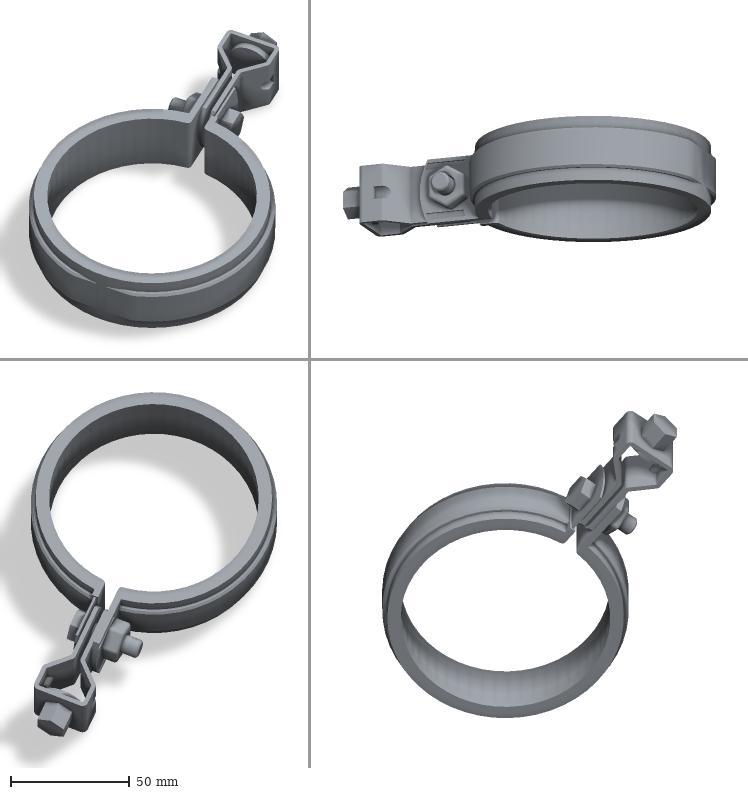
import cadquery as cq
import math

ring_height = 28.0
ring_inner_radius = 44.2
ring_end_radius = 49.9
ring_crown_radius = 50.2
foot_top = 52.5
foot_corner_radius = 1.6

band_outer_diameter = 104.0
band_outer_radius = band_outer_diameter / 2
band_inner_radius = 49.0
band_height = 17.4
band_chamfer = 1.0
band_flat_y = -50.2
band_flat_blend = 15.3
band_end_gap = 5.0

strip = 2.0
bracket_height = 24.8
leg_gap = 2.4
bracket_half_width = 12.2
bracket_top = 101.7
upper_bend_y = 90.2
bend_radius = 2.1
inner_bend_radius = 0.5
corner_radius = 2.4
inner_corner_radius = 0.3
leg_tip = 51.8
leg_side_end = 56.3
leg_face = leg_gap / 2 + strip
lower_bend_y = upper_bend_y - (bracket_half_width - leg_face)

louvre_top = 94.5
louvre_inner_radius = 2.7
louvre_wall = 1.5
louvre_outer_radius = louvre_inner_radius + louvre_wall

bolt_y = 61.8
bolt_diameter = 8.0
bolt_tip_diameter = 6.6
bolt_tip_x = -20.1
bolt_head_flats = 13.0
bolt_head_thickness = 5.3
clearance_diameter = 9.0

foot_thickness = 2.9
foot_face = leg_face + foot_thickness
ear_thickness = 1.0
ear_inner_face = leg_face + (foot_thickness - ear_thickness) / 2
ear_outer_face = ear_inner_face + ear_thickness
ear_width = 25.7
ear_root = 49.9
ear_side_top = 71.9
ear_tip = 74.3

cap_side_top = 72.4
cap_tip = 76.0
cap_hex_flats = 16.0
cap_hex_height = 6.8
cap_corner_radius = 1.6
cap_rim_radius = 1.5
window_low_z = 9.5
window_high_z = 12.4
window_outer_span = (55.3, 72.4)
window_inner_span = (56.3, 73.3)

stud_flats = 12.0
stud_top = 110.7
stud_neck_diameter = 10.5
flange_diameter = 20.0
flange_thickness = 2.9


def block(x_range, y_range, height):
    """Box between two X and two Y values, centred on Z = 0."""
    size_x = x_range[1] - x_range[0]
    size_y = y_range[1] - y_range[0]
    middle = (sum(x_range) / 2, sum(y_range) / 2, 0)
    return cq.Workplane("XY").box(size_x, size_y, height).translate(middle)


def prism(points, height):
    """Polygon in X and Y extruded symmetrically about Z = 0."""
    return cq.Workplane("XY").polyline(points).close().extrude(height / 2, both=True)


def hexagon(workplane, flats):
    """Hexagon given by its width across flats, corners on the local X axis."""
    return workplane.polygon(6, flats / math.cos(math.pi / 6))


def bolt_cylinder(diameter, x_start, x_end):
    """Cylinder on the bolt axis."""
    plane = cq.Workplane("YZ", origin=(x_start, bolt_y, 0))
    return plane.circle(diameter / 2).extrude(x_end - x_start)


def tongue(x_range, y_side_end, y_tip, y_root, width):
    """Plate across X whose end along Y is a shallow arc."""
    plane = cq.Workplane("YZ", origin=(x_range[0], 0, 0))
    outline = (
        plane.moveTo(y_root, -width / 2)
        .lineTo(y_side_end, -width / 2)
        .threePointArc((y_tip, 0), (y_side_end, width / 2))
        .lineTo(y_root, width / 2)
        .close()
    )
    return outline.extrude(x_range[1] - x_range[0])


def make_ears():
    """Two drilled ear plates: the left one and its mirror."""
    left = tongue((-ear_outer_face, -ear_inner_face), ear_side_top, ear_tip, ear_root, ear_width)
    left = left.cut(bolt_cylinder(clearance_diameter, -foot_face, 0))
    return left, left.mirror("YZ")


def make_bands():
    """Left and right bands, flattened opposite the bolt and stopped by the ring's feet."""
    reach = 2 * band_outer_radius
    disc = cq.Workplane("XY").circle(band_outer_radius).extrude(band_height / 2, both=True)
    disc = disc.cut(block((-reach, reach), (-reach, band_flat_y), band_height))
    disc = disc.edges("|Z and <Y").fillet(band_flat_blend)
    disc = disc.faces("<Z or >Z").edges().chamfer(band_chamfer)
    core = cq.Workplane("XY").circle(band_inner_radius).extrude(band_height, both=True)
    hoop = disc.cut(core)
    right = hoop.intersect(block((band_end_gap / 2, reach), (-reach, reach), band_height))
    right = right.cut(block((0, foot_face), (0, reach), band_height))
    return right.mirror("YZ"), right


def make_ring(inserts):
    """Crowned open ring with two feet, recessed for the bands and ears."""
    half = ring_height / 2
    ring = (
        cq.Workplane("XZ")
        .moveTo(ring_inner_radius, -half)
        .lineTo(ring_end_radius, -half)
        .threePointArc((ring_crown_radius, 0), (ring_end_radius, half))
        .lineTo(ring_inner_radius, half)
        .close()
        .revolve(360, (0, 0, 0), (0, 1, 0))
    )
    wall_middle = (ring_inner_radius + ring_end_radius) / 2
    ring = ring.union(block((-foot_face, foot_face), (wall_middle, foot_top), ring_height))
    ring = ring.cut(block((-leg_face, leg_face), (0, foot_top), ring_height))
    inner_corners = cq.selectors.BoxSelector(
        (-leg_face - foot_corner_radius, 0, -half),
        (leg_face + foot_corner_radius, wall_middle, half),
    )
    ring = ring.edges("|Z").edges(inner_corners).fillet(foot_corner_radius)
    for insert in inserts:
        ring = ring.cut(insert)
    return ring


def make_cap(ear):
    """Plate over the left ear with a rounded hexagonal dome and two windows onto the ear."""
    plate = tongue((-foot_face, -leg_face), cap_side_top, cap_tip, foot_top, ring_height)
    face = cq.Workplane("YZ", origin=(-foot_face, bolt_y, 0)).transformed(rotate=(0, 0, 90))
    dome = hexagon(face, cap_hex_flats).extrude(-cap_hex_height)
    dome = dome.edges("|X").fillet(cap_corner_radius)
    dome = dome.faces("<X").edges().fillet(cap_rim_radius)
    cap = plate.union(dome)
    cap = cap.cut(bolt_cylinder(clearance_diameter, bolt_tip_x, 0))
    for side in (-1, 1):
        window = cq.Workplane("YZ", origin=(-foot_face, 0, 0)).polyline([
            (window_outer_span[0], side * window_high_z),
            (window_outer_span[1], side * window_high_z),
            (window_inner_span[1], side * window_low_z),
            (window_inner_span[0], side * window_low_z),
        ]).close()
        cap = cap.cut(window.extrude(foot_face - ear_outer_face))
    return cap.cut(ear)


def bracket_region(inset, leg_end):
    """Filled bracket outline, moved inwards by an inset; bends stay parallel."""
    wall = bracket_half_width - inset
    leg = leg_face - inset
    rise = inset * math.tan(math.pi / 8)
    right = [
        (leg, leg_end),
        (leg, lower_bend_y + rise),
        (wall, upper_bend_y + rise),
        (wall, bracket_top - inset),
    ]
    left = [(-x, y) for x, y in reversed(right)]
    return prism(right + left, bracket_height)


def bends(y_low, y_high):
    """Selector for the bend edges between two heights along Y."""
    reach = bracket_half_width + strip
    return cq.selectors.BoxSelector((-reach, y_low, -strip), (reach, y_high, strip))


def make_bracket():
    """Bent strip with rounded leg ends, louvred sides, a stud hole and bolt holes."""
    shoulder_margin = 1.6
    outside = bracket_region(0, leg_tip)
    top_corners = bends(bracket_top - strip, bracket_top + strip)
    outside = outside.edges("|Z").edges(top_corners).fillet(corner_radius)
    upper = bends(upper_bend_y - shoulder_margin, upper_bend_y + shoulder_margin)
    outside = outside.edges("|Z").edges(upper).fillet(bend_radius)
    lower = bends(lower_bend_y - shoulder_margin, lower_bend_y + shoulder_margin)
    outside = outside.edges("|Z").edges(lower).fillet(inner_bend_radius)
    inside = bracket_region(strip, leg_tip - strip)
    inside = inside.edges("|Z and >Y").fillet(inner_corner_radius)
    inside = inside.edges("|Z").edges(lower).fillet(bend_radius)
    bracket = outside.cut(inside)

    bracket_width = (-bracket_half_width, bracket_half_width)
    bracket = bracket.intersect(tongue(bracket_width, leg_side_end, leg_tip, bracket_top, bracket_height))

    for side in (-1, 1):
        axis = cq.Workplane("XZ", origin=(side * bracket_half_width, louvre_top, 0))
        length = louvre_top - lower_bend_y
        shell = axis.circle(louvre_outer_radius).extrude(length).intersect(outside)
        pocket = axis.circle(louvre_inner_radius).extrude(length)
        bracket = bracket.union(shell).cut(pocket)

    stud_hole = cq.Workplane("XZ", origin=(0, bracket_top, 0)).circle(stud_neck_diameter / 2).extrude(strip)
    bracket = bracket.cut(stud_hole)
    return bracket.cut(bolt_cylinder(clearance_diameter, -leg_face, leg_face))


def make_stud():
    """Hexagon, neck through the bracket and round flange, along Y."""
    hex_base = cq.Workplane("XZ", origin=(0, bracket_top, 0)).transformed(rotate=(0, 0, 90))
    stud = hexagon(hex_base, stud_flats).extrude(bracket_top - stud_top)
    neck = cq.Workplane("XZ", origin=(0, bracket_top, 0)).circle(stud_neck_diameter / 2).extrude(strip)
    flange_base = cq.Workplane("XZ", origin=(0, bracket_top - strip, 0))
    flange = flange_base.circle(flange_diameter / 2).extrude(flange_thickness)
    return stud.union(neck).union(flange)


def make_bolt():
    """Hexagon-head bolt whose head bears on the right ear."""
    shank = bolt_cylinder(bolt_diameter, bolt_tip_x, ear_outer_face)
    tip_chamfer = (bolt_diameter - bolt_tip_diameter) / 2
    shank = shank.faces("<X").chamfer(tip_chamfer)
    head_base = cq.Workplane("YZ", origin=(ear_outer_face, bolt_y, 0))
    head = hexagon(head_base, bolt_head_flats).extrude(bolt_head_thickness)
    return shank.union(head)


ear_left, ear_right = make_ears()
band_left, band_right = make_bands()
ring = make_ring([ear_left, ear_right, band_left, band_right])
cap = make_cap(ear_left)
bracket = make_bracket()
stud = make_stud()
bolt = make_bolt()

bodies = [ring, band_left, band_right, ear_left, ear_right, cap, bracket, stud, bolt]
result = cq.Compound.makeCompound([body.val() for body in bodies])